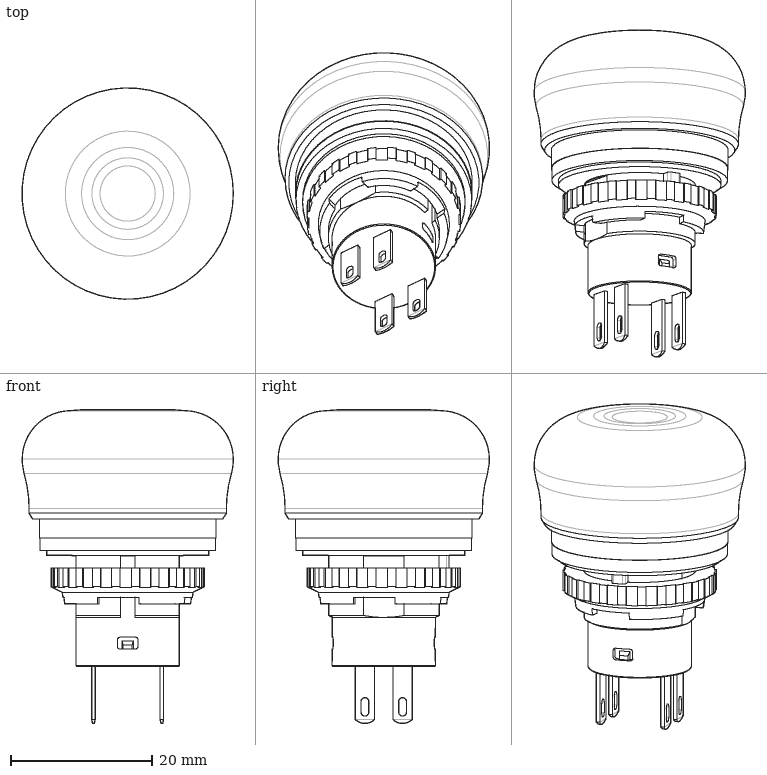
import cadquery as cq
import math

total_height = 44.5
block_bottom_z = 8.05
barrel_bottom_z = 15.05
nut_bottom_z = 16.95
nut_cone_bottom_z = 18.6
nut_rim_bottom_z = 19.4
nut_top_z = 22.05
barrel_top_z = 23.85
flange_bottom_z = 24.5
flange_top_z = 26.3
skirt_bottom_z = 28.95
skirt_chamfer_top_z = 29.8
skirt_flare_z = 30.5
flare_bend_z = 35.4
equator_z = 37.45
crown_edge_z = 44.3

collar_radius = 12.55
skirt_bottom_radius = 13.5
skirt_radius = 14.0
flare_bend_radius = 14.75
equator_radius = 15.0
crown_edge_radius = 8.85
crown_top_radius = 6.55
dish_rim_radius = 5.07
dish_floor_radius = 3.9
dish_depth = 0.15

flange_radius = 12.45
step_radius = 11.53
barrel_radius = 7.88
block_radius = 7.35
block_edge_chamfer = 0.15
barrel_chamfer = barrel_radius - block_radius
relief_top_z = barrel_top_z - 0.1
keyway_width = 2.05
key_tip_radius = 9.25
key_corner_radius = 0.35

window_width = 2.95
window_bottom_z = 10.55
window_top_z = 12.25
window_corner_radius = 0.4
window_depth = 0.9
latch_back_width = 1.6
latch_front_width = 1.3
latch_front_depth = 0.55
latch_front_top_z = 11.12
latch_back_top_z = 11.7

terminal_x = 4.85
terminal_y = 2.65
terminal_width = 2.75
terminal_thickness = 0.55
terminal_shoulder_z = 0.6
terminal_tip_thickness = 0.25
slot_width = 1.05
slot_bottom_z = 1.05
slot_top_z = 3.65

nut_rim_radius = 10.9
nut_groove_radius = 10.7
nut_hub_radius = 9.3
nut_hub_bottom_radius = 9.1
nut_groove_count = 24
nut_groove_share = 0.58
nut_notch_count = 4
nut_notch_width = 5.95
nut_notch_depth = 0.95
nut_turn = -9.0


def arc_middle(start, end, center):
    """Point halfway along the minor arc from start to end around center."""
    radius = math.dist(start, center)
    toward = (start[0] + end[0] - 2 * center[0], start[1] + end[1] - 2 * center[1])
    length = math.hypot(*toward)
    return (center[0] + radius * toward[0] / length, center[1] + radius * toward[1] / length)


def arc_radius_from_vertical(start, end):
    """Radius of the arc through both points that is vertical at start."""
    run = abs(end[0] - start[0])
    rise = abs(end[1] - start[1])
    return (run ** 2 + rise ** 2) / (2 * run)


def make_button():
    """Mushroom head with its collar, revolved about Z."""
    flare = (skirt_radius, skirt_flare_z)
    bend = (flare_bend_radius, flare_bend_z)
    equator = (equator_radius, equator_z)
    crown_edge = (crown_edge_radius, crown_edge_z)
    flare_center = (skirt_radius + arc_radius_from_vertical(flare, bend), skirt_flare_z)
    bend_center = (equator_radius - arc_radius_from_vertical(equator, bend), equator_z)
    dome_center = (equator_radius - arc_radius_from_vertical(equator, crown_edge), equator_z)
    return (
        cq.Workplane("XZ")
        .moveTo(0, flange_top_z)
        .lineTo(collar_radius, flange_top_z)
        .lineTo(collar_radius, skirt_bottom_z)
        .lineTo(skirt_bottom_radius, skirt_bottom_z)
        .lineTo(skirt_radius, skirt_chamfer_top_z)
        .lineTo(*flare)
        .threePointArc(arc_middle(flare, bend, flare_center), bend)
        .threePointArc(arc_middle(bend, equator, bend_center), equator)
        .threePointArc(arc_middle(equator, crown_edge, dome_center), crown_edge)
        .lineTo(crown_top_radius, total_height)
        .lineTo(dish_rim_radius, total_height)
        .lineTo(dish_floor_radius, total_height - dish_depth)
        .lineTo(0, total_height - dish_depth)
        .close()
        .revolve()
    )


def make_barrel():
    """Barrel with two side flats and a front keyway, above the contact block."""
    relief_height = relief_top_z - barrel_bottom_z
    barrel = (
        cq.Workplane("XY", origin=(0, 0, barrel_bottom_z))
        .circle(barrel_radius)
        .extrude(barrel_top_z - barrel_bottom_z)
        .faces("<Z")
        .chamfer(barrel_chamfer / 2, barrel_chamfer)
    )
    flats = (
        cq.Workplane("XY", origin=(0, 0, barrel_bottom_z))
        .rect(4 * barrel_radius, 2 * barrel_radius)
        .rect(2 * block_radius, 2 * barrel_radius)
        .extrude(relief_height)
    )
    keyway = (
        cq.Workplane("XY", origin=(0, -barrel_radius, barrel_bottom_z))
        .rect(keyway_width, barrel_radius)
        .extrude(relief_height)
        .cut(cq.Workplane("XY").circle(block_radius).extrude(total_height))
    )
    return barrel.cut(flats).cut(keyway)


def make_key():
    """Locating key on the back of the barrel, between the step and the nut."""
    return (
        cq.Workplane("XY", origin=(0, 0, nut_top_z))
        .center(0, key_tip_radius / 2)
        .rect(keyway_width, key_tip_radius)
        .extrude(barrel_top_z - nut_top_z)
        .edges("|Z and >Y")
        .fillet(key_corner_radius)
    )


def make_latch_window():
    """Cutter for a latch window, leaving a sloped latch standing on its back wall."""
    back_y = window_depth - block_radius
    front_y = latch_front_depth - block_radius
    window_height = window_top_z - window_bottom_z
    window = (
        cq.Workplane("XZ", origin=(0, back_y, (window_bottom_z + window_top_z) / 2))
        .rect(window_width, window_height)
        .extrude(2 * window_depth)
        .edges("|Y")
        .fillet(window_corner_radius)
    )
    latch_profile = (
        cq.Workplane("YZ", origin=(-latch_back_width / 2, 0, 0))
        .moveTo(back_y, window_bottom_z)
        .lineTo(front_y, window_bottom_z)
        .lineTo(front_y, latch_front_top_z)
        .lineTo(back_y, latch_back_top_z)
        .close()
        .extrude(latch_back_width)
    )
    latch_plan = (
        cq.Workplane("XY", origin=(0, 0, window_bottom_z))
        .moveTo(-latch_back_width / 2, back_y)
        .lineTo(-latch_front_width / 2, front_y)
        .lineTo(latch_front_width / 2, front_y)
        .lineTo(latch_back_width / 2, back_y)
        .close()
        .extrude(window_height)
    )
    return window.cut(latch_profile.intersect(latch_plan))


def make_terminal(x, y):
    """Slotted solder lug with a rounded, thinned tip."""
    half_width = terminal_width / 2
    half_thickness = terminal_thickness / 2
    half_tip = terminal_tip_thickness / 2
    face = (
        cq.Workplane("YZ", origin=(-half_thickness, 0, 0))
        .moveTo(-half_width, block_bottom_z)
        .lineTo(-half_width, terminal_shoulder_z)
        .threePointArc((0, 0), (half_width, terminal_shoulder_z))
        .lineTo(half_width, block_bottom_z)
        .close()
        .extrude(terminal_thickness)
    )
    edge = (
        cq.Workplane("XZ", origin=(0, half_width, 0))
        .moveTo(-half_thickness, block_bottom_z)
        .lineTo(-half_thickness, terminal_shoulder_z)
        .lineTo(-half_tip, 0)
        .lineTo(half_tip, 0)
        .lineTo(half_thickness, terminal_shoulder_z)
        .lineTo(half_thickness, block_bottom_z)
        .close()
        .extrude(terminal_width)
    )
    slot = (
        cq.Workplane("YZ", origin=(-half_thickness, 0, (slot_bottom_z + slot_top_z) / 2))
        .slot2D(slot_top_z - slot_bottom_z, slot_width, 90)
        .extrude(terminal_thickness)
    )
    return face.intersect(edge).cut(slot).translate((x, y, 0))


def make_housing():
    """Flange, step, barrel, key, contact block and terminals as one body."""
    block = (
        cq.Workplane("XY", origin=(0, 0, block_bottom_z))
        .circle(block_radius)
        .extrude(barrel_bottom_z - block_bottom_z)
        .faces("<Z")
        .chamfer(block_edge_chamfer)
    )
    step = cq.Workplane("XY", origin=(0, 0, barrel_top_z)).circle(step_radius)
    step = step.extrude(flange_bottom_z - barrel_top_z)
    flange = cq.Workplane("XY", origin=(0, 0, flange_bottom_z)).circle(flange_radius)
    flange = flange.extrude(flange_top_z - flange_bottom_z)
    housing = block.union(make_barrel()).union(make_key()).union(step).union(flange)
    window = make_latch_window()
    for angle in (0, 180):
        housing = housing.cut(window.rotate((0, 0, 0), (0, 0, 1), angle))
    for x in (-terminal_x, terminal_x):
        for y in (-terminal_y, terminal_y):
            housing = housing.union(make_terminal(x, y))
    return housing


def make_nut():
    """Knurled ring nut with a conical underside and a notched hub."""
    nut = (
        cq.Workplane("XZ")
        .moveTo(barrel_radius, nut_bottom_z)
        .lineTo(nut_hub_bottom_radius, nut_bottom_z)
        .lineTo(nut_hub_radius, nut_cone_bottom_z)
        .lineTo(nut_rim_radius, nut_rim_bottom_z)
        .lineTo(nut_rim_radius, nut_top_z)
        .lineTo(barrel_radius, nut_top_z)
        .close()
        .revolve()
    )
    groove_pitch = 360 / nut_groove_count
    groove_width = 2 * nut_groove_radius * math.sin(math.radians(groove_pitch * nut_groove_share / 2))
    grooves = (
        cq.Workplane("XY", origin=(0, 0, nut_cone_bottom_z))
        .polarArray(nut_rim_radius, groove_pitch / 2, 360, nut_groove_count)
        .rect(nut_rim_radius - nut_hub_radius, groove_width)
        .extrude(nut_top_z - nut_cone_bottom_z)
        .cut(cq.Workplane("XY").circle(nut_groove_radius).extrude(total_height))
    )
    notches = (
        cq.Workplane("XY", origin=(0, 0, nut_bottom_z))
        .polarArray(nut_hub_radius, 0, 360, nut_notch_count)
        .rect(nut_hub_radius, nut_notch_width)
        .extrude(nut_notch_depth)
    )
    return nut.cut(grooves).cut(notches).rotate((0, 0, 0), (0, 0, 1), nut_turn)


button = make_button()
housing = make_housing()
nut = make_nut()

result = cq.Compound.makeCompound([*button.solids().vals(), *housing.solids().vals(), *nut.solids().vals()])